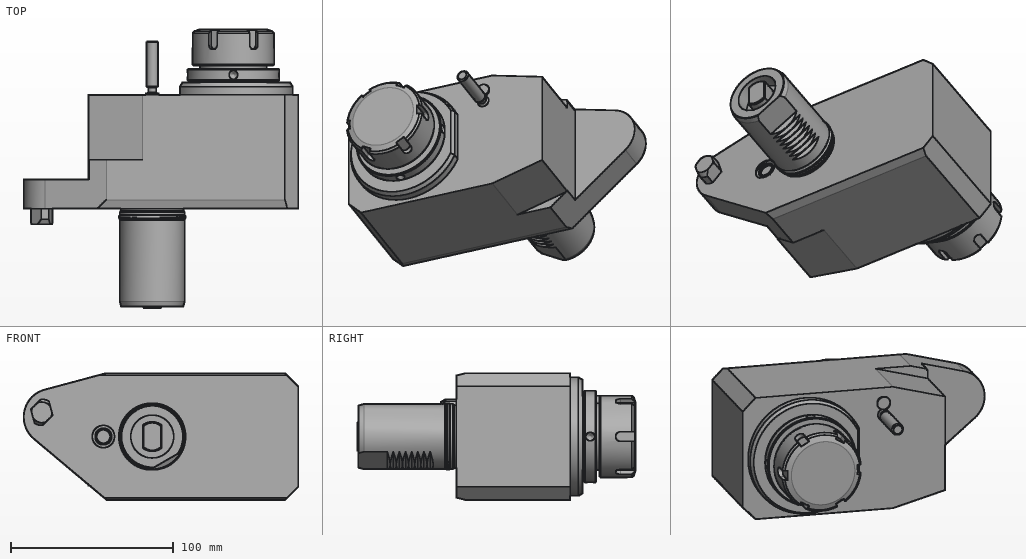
import cadquery as cq
import math


HEIGHT = 78.0
HALF_HEIGHT = HEIGHT / 2
RIGHT_X = 90.0
BACK_Y = 70.0
CORNER_CHAMFER = 8.2
BEVEL_DEPTH = 5.5
BEVEL_ANGLE = 15
PLATE_DEPTH = 18.0
EAR_X = -61.6
EAR_Z = 12.0
EAR_RADIUS = 17.5
UPPER_SLOPE = 15
LOWER_SLOPE = 40
SHOULDER_END_Y = 30.2
BLOCK_X = -39.3
LEDGE_WIDTH = 0.5
LEDGE_Z = 35.5
BLOCK_SLOPE_DROP = 9.0

SHANK_RADIUS = 20.0
SHANK_END_Y = -60.4
SHANK_CHAMFER_LENGTH = 3.5
SHANK_CHAMFER_DEPTH = 0.9
SHANK_EDGE_BREAK = 0.3
NECK_RADIUS = 19.4
NECK_LENGTH = 1.2
COLLAR_START_Y = -2.2
GROOVE_START_Y = -3.8
GROOVE_END_Y = -7.0
GROOVE_RADIUS = 18.9
SEAL_Y = -5.1
SEAL_RADIUS = 1.2
SEAL_OUTER_RADIUS = 20.6

FLAT_DISTANCE = 17.0
FLAT_DIRECTION = -60
TOOTH_PITCH = 3.8
TOOTH_COUNT = 7
FIRST_TOOTH_Y = -14.2

RECESS_RADIUS = 13.2
RECESS_DEPTH = 10.0
TANG_RADIUS = 9.1
TANG_WIDTH = 11.7
TANG_END_Y = -61.1
TANG_CHAMFER = 0.7

BOLT_X = -68.0
BOLT_Z = 15.0
BOLT_RADIUS = 8.0
BOLT_HEIGHT = 9.6
BOLT_CHAMFER_HEIGHT = 3.1
BOLT_CHAMFER_DEPTH = 1.7
BOLT_FLAT_DISTANCE = 6.0
BOLT_FLAT_DIRECTIONS = (15, 135)

PORT_X = -30.0
PORT_RADIUS = 6.9
PORT_SEAL_RADIUS = 0.9
PORT_BORE_RADIUS = 4.1
PORT_BORE_DEPTH = 2.0

SPINDLE_X = 50.0
FLANGE_RADIUS = 36.5
FLANGE_FLAT_DISTANCE = 33.0
FLANGE_THICKNESS = 7.7
FLANGE_CHAMFER_LENGTH = 2.7
FLANGE_CHAMFER_DEPTH = 1.5
SPINDLE_NECK_RADIUS = 20.6
RING_RADIUS = 28.3
RING_START_Y = 78.6
RING_END_Y = 86.1
RING_CHAMFER = 0.7
RING_HOLE_RADIUS = 2.7
RING_HOLE_Y = 82.4
RING_HOLE_DEPTH = 2.7

NUT_RADIUS = 25.2
NUT_START_Y = 88.0
NUT_END_Y = 110.5
NUT_CHAMFER = 0.9
NUT_FACE_RADIUS = 20.2
NUT_RIM_RADIUS = 24.0
NUT_RIM_Y = 109.3
NUT_SHOULDER_Y = 108.0
SLOT_COUNT = 6
SLOT_FIRST_ANGLE = 30
SLOT_WIDTH = 5.8
SLOT_DEPTH = 3.0
SLOT_END_Y = 98.0

TUBE_Z = 21.6
TUBE_RADIUS = 3.6
TUBE_END_Y = 103.1
TUBE_START_Y = 75.3
TUBE_CHAMFER = 0.9
TUBE_NECK_RADIUS = 2.5
TUBE_NECK_START_Y = 71.5
PLUG_Z = 29.2
PLUG_RADIUS = 4.1
PLUG_THICKNESS = 1.0

OVERLAP = 1.7
CUT_MARGIN = 51.5


def direction(angle):
    """Unit vector (x, z) at an angle in degrees from +X toward +Z."""
    return math.cos(math.radians(angle)), math.sin(math.radians(angle))


def prism(points, y_start, y_end):
    """Extrude a closed (x, z) polygon from y_start to y_end."""
    outline = cq.Workplane("XZ", origin=(0, y_start, 0)).polyline(points).close()
    return outline.extrude(y_start - y_end)


def cylinder(x, z, radius, y_start, y_end):
    """Cylinder along Y."""
    return cq.Workplane("XZ", origin=(x, y_start, z)).circle(radius).extrude(y_start - y_end)


def turned(profile, x=0, z=0):
    """Revolve a (radius, y) profile, closed along the axis, about a line parallel to Y."""
    points = [(0, profile[0][1])] + profile + [(0, profile[-1][1])]
    body = cq.Workplane("XY").polyline(points).close().revolve(360, (0, 0, 0), (0, 1, 0))
    return body.translate((x, 0, z))


def ring_seal(ring_radius, section_radius, x, y):
    """Torus about a line parallel to Y."""
    center = cq.Vector(x, y, 0)
    axis = cq.Vector(0, 1, 0)
    return cq.Workplane(obj=cq.Solid.makeTorus(ring_radius, section_radius, center, axis))


def half_space(angle, distance, y_start, y_end):
    """Block whose flat lower side is at a distance from the Y axis, facing back toward it."""
    block = cq.Workplane("XY").box(
        CUT_MARGIN, y_end - y_start, 2 * CUT_MARGIN, centered=(False, False, True)
    )
    return block.translate((distance, y_start, 0)).rotate((0, 0, 0), (0, 1, 0), -angle)


def housing_outline():
    """Front outline: block with chamfered right corners tapering to a rounded ear on the left."""
    top_x, top_z = direction(90 + UPPER_SLOPE)
    low_x, low_z = direction(270 - LOWER_SLOPE)
    upper_tangent = (EAR_X + EAR_RADIUS * top_x, EAR_Z + EAR_RADIUS * top_z)
    lower_tangent = (EAR_X + EAR_RADIUS * low_x, EAR_Z + EAR_RADIUS * low_z)
    upper_run = (HALF_HEIGHT - upper_tangent[1]) / math.tan(math.radians(UPPER_SLOPE))
    lower_run = (HALF_HEIGHT + lower_tangent[1]) / math.tan(math.radians(LOWER_SLOPE))
    return (
        cq.Workplane("XZ")
        .moveTo(*upper_tangent)
        .threePointArc((EAR_X - EAR_RADIUS, EAR_Z), lower_tangent)
        .lineTo(lower_tangent[0] + lower_run, -HALF_HEIGHT)
        .lineTo(RIGHT_X - CORNER_CHAMFER, -HALF_HEIGHT)
        .lineTo(RIGHT_X, CORNER_CHAMFER - HALF_HEIGHT)
        .lineTo(RIGHT_X, HALF_HEIGHT - CORNER_CHAMFER)
        .lineTo(RIGHT_X - CORNER_CHAMFER, HALF_HEIGHT)
        .lineTo(upper_tangent[0] + upper_run, HALF_HEIGHT)
        .close()
    )


def back_block():
    """Rear part of the housing, with shallow slopes at its upper and lower left."""
    slope_end_x = BLOCK_X + BLOCK_SLOPE_DROP / math.tan(math.radians(UPPER_SLOPE))
    side_z = HALF_HEIGHT - BLOCK_SLOPE_DROP
    points = [
        (BLOCK_X, -side_z),
        (slope_end_x, -HALF_HEIGHT),
        (RIGHT_X - CORNER_CHAMFER, -HALF_HEIGHT),
        (RIGHT_X, CORNER_CHAMFER - HALF_HEIGHT),
        (RIGHT_X, HALF_HEIGHT - CORNER_CHAMFER),
        (RIGHT_X - CORNER_CHAMFER, HALF_HEIGHT),
        (slope_end_x, HALF_HEIGHT),
        (BLOCK_X, side_z),
    ]
    return prism(points, SHOULDER_END_Y, BACK_Y)


def housing():
    front = housing_outline().extrude(-SHOULDER_END_Y)
    behind_ear = cq.Workplane("XY").box(
        2 * CUT_MARGIN, SHOULDER_END_Y - PLATE_DEPTH, 2 * CUT_MARGIN, centered=(False, False, True)
    )
    behind_ear = behind_ear.translate((BLOCK_X - 2 * CUT_MARGIN, PLATE_DEPTH, 0))
    above_ledge = behind_ear.translate((LEDGE_WIDTH, 0, LEDGE_Z + CUT_MARGIN))
    body = front.cut(behind_ear).cut(above_ledge).union(back_block())

    bevel_height = BEVEL_DEPTH * math.tan(math.radians(BEVEL_ANGLE))
    length = RIGHT_X - EAR_X
    wedge = (
        cq.Workplane("YZ", origin=(EAR_X, 0, 0))
        .polyline([(0, HALF_HEIGHT - bevel_height), (BEVEL_DEPTH, HALF_HEIGHT), (0, HALF_HEIGHT)])
        .close()
        .extrude(length)
    )
    return body.cut(wedge).cut(wedge.mirror("XY"))


def shank():
    nose_radius = SHANK_RADIUS - SHANK_CHAMFER_DEPTH
    body = turned([
        (NECK_RADIUS, OVERLAP),
        (NECK_RADIUS, -NECK_LENGTH),
        (SHANK_RADIUS, COLLAR_START_Y),
        (SHANK_RADIUS, GROOVE_START_Y),
        (GROOVE_RADIUS, GROOVE_START_Y),
        (GROOVE_RADIUS, GROOVE_END_Y),
        (SHANK_RADIUS, GROOVE_END_Y),
        (SHANK_RADIUS, SHANK_END_Y + SHANK_CHAMFER_LENGTH),
        (nose_radius, SHANK_END_Y + SHANK_EDGE_BREAK),
        (nose_radius - SHANK_EDGE_BREAK, SHANK_END_Y),
    ])
    seal = ring_seal(SEAL_OUTER_RADIUS - SEAL_RADIUS, SEAL_RADIUS, 0, SEAL_Y)
    recess = cylinder(0, 0, RECESS_RADIUS, SHANK_END_Y, SHANK_END_Y + RECESS_DEPTH)
    return body.union(seal).cut(tooth_cutter()).cut(recess).union(tang())


def tooth_cutter():
    """V grooves across the shank followed by a plain flat running out through its end."""
    points = [(SHANK_RADIUS, FIRST_TOOTH_Y)]
    for tooth in range(TOOTH_COUNT):
        crest_y = FIRST_TOOTH_Y - tooth * TOOTH_PITCH
        points.append((FLAT_DISTANCE, crest_y - TOOTH_PITCH / 2))
        points.append((SHANK_RADIUS, crest_y - TOOTH_PITCH))
    last_crest_y = FIRST_TOOTH_Y - TOOTH_COUNT * TOOTH_PITCH
    points += [
        (FLAT_DISTANCE, last_crest_y - TOOTH_PITCH / 2),
        (FLAT_DISTANCE, SHANK_END_Y - OVERLAP),
        (SHANK_RADIUS + OVERLAP, SHANK_END_Y - OVERLAP),
        (SHANK_RADIUS + OVERLAP, FIRST_TOOTH_Y),
    ]
    cutter = cq.Workplane("XY").polyline(points).close().extrude(SHANK_RADIUS, both=True)
    return cutter.rotate((0, 0, 0), (0, 1, 0), -FLAT_DIRECTION)


def tang():
    """Round bar with two flats and a chamfered end."""
    base_y = SHANK_END_Y + RECESS_DEPTH + OVERLAP
    flats = cq.Workplane("XY").box(TANG_WIDTH, 2 * -TANG_END_Y, 2 * TANG_RADIUS)
    bar = cylinder(0, 0, TANG_RADIUS, TANG_END_Y, base_y).intersect(flats)
    return bar.faces("<Y").chamfer(TANG_CHAMFER)


def clamping_bolt():
    """Round head with two pairs of wrench flats and a conical end."""
    head = turned([
        (BOLT_RADIUS, OVERLAP),
        (BOLT_RADIUS, BOLT_CHAMFER_HEIGHT - BOLT_HEIGHT),
        (BOLT_RADIUS - BOLT_CHAMFER_DEPTH, -BOLT_HEIGHT),
    ])
    for angle in BOLT_FLAT_DIRECTIONS:
        for side in (0, 180):
            head = head.cut(half_space(angle + side, BOLT_FLAT_DISTANCE, -2 * BOLT_HEIGHT, BOLT_HEIGHT))
    return head.translate((BOLT_X, 0, BOLT_Z))


def add_coolant_port(body):
    """Shallow counterbore holding a seal ring around a blind bore."""
    seat = cylinder(PORT_X, 0, PORT_RADIUS, 0, PORT_SEAL_RADIUS)
    bore = cylinder(PORT_X, 0, PORT_BORE_RADIUS, 0, PORT_BORE_DEPTH)
    seal = ring_seal(PORT_RADIUS - PORT_SEAL_RADIUS, PORT_SEAL_RADIUS, PORT_X, PORT_SEAL_RADIUS)
    return body.cut(seat).cut(bore).union(seal)


def flange():
    """Round flange with one flat on its left side, chamfered around its outer rim."""
    disc = cylinder(SPINDLE_X, 0, FLANGE_RADIUS, BACK_Y, BACK_Y + FLANGE_THICKNESS)
    cutter = half_space(180, FLANGE_FLAT_DISTANCE, BACK_Y, BACK_Y + FLANGE_THICKNESS)
    disc = disc.cut(cutter.translate((SPINDLE_X, 0, 0)))
    return disc.faces(">Y").edges().chamfer(FLANGE_CHAMFER_LENGTH, FLANGE_CHAMFER_DEPTH)


def spindle_ring():
    """Chamfered ring with four conical spanner holes."""
    ring = cylinder(SPINDLE_X, 0, RING_RADIUS, RING_START_Y, RING_END_Y)
    ring = ring.faces("<Y or >Y").chamfer(RING_CHAMFER)
    cone = cq.Solid.makeCone(
        0, 2 * RING_HOLE_RADIUS, 2 * RING_HOLE_DEPTH,
        cq.Vector(RING_RADIUS - RING_HOLE_DEPTH, 0, 0), cq.Vector(1, 0, 0),
    )
    for angle in range(0, 360, 90):
        hole = cone.rotate(cq.Vector(0, 0, 0), cq.Vector(0, 1, 0), angle)
        ring = ring.cut(cq.Workplane(obj=hole.translate(cq.Vector(SPINDLE_X, RING_HOLE_Y, 0))))
    return ring


def collet_nut():
    """Round nut with round-ended spanner slots open toward its end face."""
    nut = turned([
        (NUT_RADIUS - NUT_CHAMFER, NUT_START_Y),
        (NUT_RADIUS, NUT_START_Y + NUT_CHAMFER),
        (NUT_RADIUS, NUT_SHOULDER_Y),
        (NUT_RIM_RADIUS, NUT_RIM_Y),
        (NUT_FACE_RADIUS, NUT_END_Y),
    ])
    slot_length = 2 * (NUT_END_Y - SLOT_END_Y)
    slot = (
        cq.Workplane("XY", origin=(0, NUT_END_Y, NUT_RADIUS - SLOT_DEPTH))
        .slot2D(slot_length, SLOT_WIDTH, 90)
        .extrude(2 * SLOT_DEPTH)
    )
    for index in range(SLOT_COUNT):
        angle = SLOT_FIRST_ANGLE + index * 360 / SLOT_COUNT
        nut = nut.cut(slot.rotate((0, 0, 0), (0, 1, 0), angle))
    return nut.translate((SPINDLE_X, 0, 0))


def spindle():
    neck = cylinder(SPINDLE_X, 0, SPINDLE_NECK_RADIUS, BACK_Y - OVERLAP, NUT_START_Y + OVERLAP)
    return neck.union(flange()).union(spindle_ring()).union(collet_nut())


def coolant_tube():
    tube = turned([
        (TUBE_NECK_RADIUS, BACK_Y - OVERLAP),
        (TUBE_RADIUS, BACK_Y),
        (TUBE_NECK_RADIUS, TUBE_NECK_START_Y),
        (TUBE_NECK_RADIUS, TUBE_START_Y - TUBE_CHAMFER),
        (TUBE_RADIUS, TUBE_START_Y),
        (TUBE_RADIUS, TUBE_END_Y - TUBE_CHAMFER),
        (TUBE_RADIUS - TUBE_CHAMFER, TUBE_END_Y),
    ], z=TUBE_Z)
    plug = cylinder(0, PLUG_Z, PLUG_RADIUS, BACK_Y - OVERLAP, BACK_Y + PLUG_THICKNESS)
    return tube.union(plug)


body = add_coolant_port(housing())
for attachment in (shank(), clamping_bolt(), spindle(), coolant_tube()):
    body = body.union(attachment)
result = body